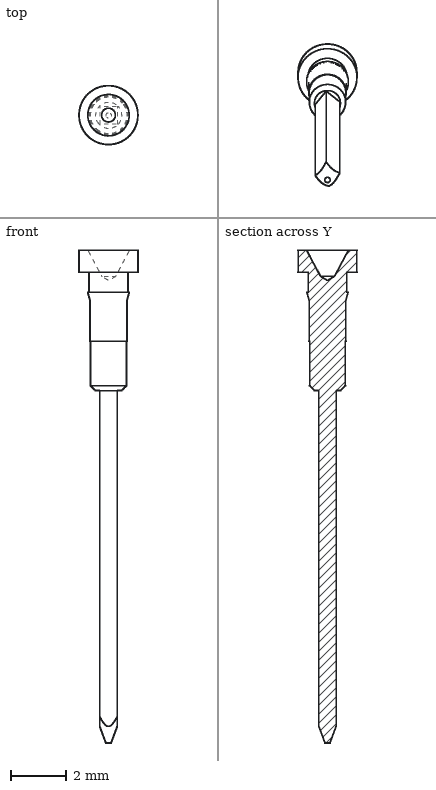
import cadquery as cq
import math

total_length = 17.85
head_height = 0.8
barb_start = 1.52
barb_end = 1.8
sleeve_start = 3.3
chamfer_start = 4.9
sleeve_end = 5.09

head_diameter = 2.15
collar_diameter = 1.43
barb_diameter = 1.52
body_diameter = 1.35
sleeve_diameter = 1.32
chamfer_end_diameter = 0.95

pin_width = 0.65
tip_diameter = 0.2
point_length = 0.96

entry_diameter = 1.5
floor_diameter = 0.5
entry_half_angle = 28.0
floor_half_angle = 59.0


def revolve_sections(sections):
    """Revolve a closed half-profile, given as (diameter, height) points, about Z."""
    points = [(diameter / 2, height) for diameter, height in sections]
    return cq.Workplane("XZ").polyline(points).close().revolve(360, (0, 0, 0), (0, 1, 0))


def cone_depth(large_diameter, small_diameter, half_angle):
    return (large_diameter - small_diameter) / 2 / math.tan(math.radians(half_angle))


def make_turned_body():
    top = total_length
    return revolve_sections([
        (0, top),
        (head_diameter, top),
        (head_diameter, top - head_height),
        (collar_diameter, top - head_height),
        (collar_diameter, top - barb_start),
        (barb_diameter, top - barb_start),
        (body_diameter, top - barb_end),
        (body_diameter, top - sleeve_start),
        (sleeve_diameter, top - sleeve_start),
        (sleeve_diameter, top - chamfer_start),
        (chamfer_end_diameter, top - sleeve_end),
        (0, top - sleeve_end),
    ])


def make_pin():
    pin_length = total_length - sleeve_end
    pin_diagonal = pin_width * math.sqrt(2)
    square_bar = cq.Workplane("XY").rect(pin_width, pin_width).extrude(pin_length)
    pointed_rod = revolve_sections([
        (0, 0),
        (tip_diameter, 0),
        (pin_diagonal, point_length),
        (chamfer_end_diameter, point_length),
        (chamfer_end_diameter, pin_length),
        (0, pin_length),
    ])
    return square_bar.intersect(pointed_rod)


def make_entry():
    floor_height = total_length - cone_depth(entry_diameter, floor_diameter, entry_half_angle)
    apex_height = floor_height - cone_depth(floor_diameter, 0, floor_half_angle)
    return revolve_sections([
        (0, total_length),
        (entry_diameter, total_length),
        (floor_diameter, floor_height),
        (0, apex_height),
    ])


result = make_turned_body().union(make_pin()).cut(make_entry())